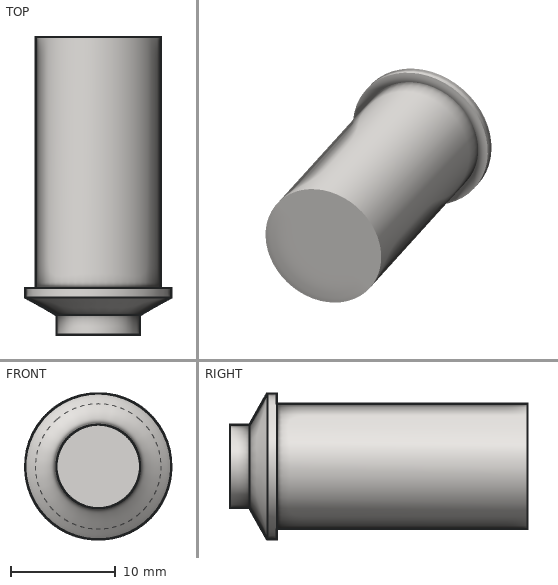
import cadquery as cq

total_length = 28.5
body_diameter = 12.0
body_length = 24.0
collar_diameter = 14.0
collar_width = 0.91
tip_diameter = 8.0
cone_length = 1.69

body_radius = body_diameter / 2
collar_radius = collar_diameter / 2
tip_radius = tip_diameter / 2

tip_end = 0.0
cone_start = total_length - body_length - collar_width - cone_length
collar_start = cone_start + cone_length
body_start = collar_start + collar_width
body_end = total_length

half_profile = (
    cq.Workplane("YZ")
    .moveTo(tip_end, 0)
    .lineTo(tip_end, tip_radius)
    .lineTo(cone_start, tip_radius)
    .lineTo(collar_start, collar_radius)
    .lineTo(body_start, collar_radius)
    .lineTo(body_start, body_radius)
    .lineTo(body_end, body_radius)
    .lineTo(body_end, 0)
    .close()
)

result = half_profile.revolve(360, (0, 0, 0), (1, 0, 0))